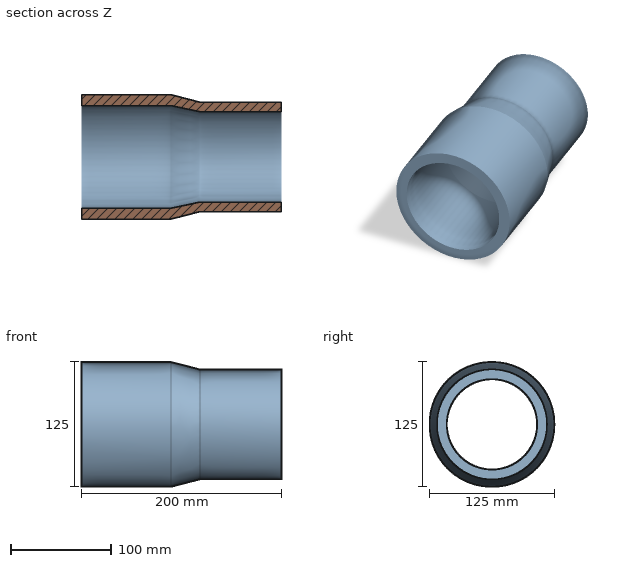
import cadquery as cq

length = 200.0
taper_start = 89.0
taper_end = 118.0

large_outer_diameter = 125.0
large_bore_diameter = 102.2
small_outer_diameter = 110.0
small_bore_diameter = 90.0


def stepped_round(large_diameter, small_diameter):
    """Solid of revolution about X: two cylinders joined by a straight taper."""
    large_radius = large_diameter / 2
    small_radius = small_diameter / 2
    return (
        cq.Workplane("XY")
        .moveTo(0, 0)
        .lineTo(0, large_radius)
        .lineTo(taper_start, large_radius)
        .lineTo(taper_end, small_radius)
        .lineTo(length, small_radius)
        .lineTo(length, 0)
        .close()
        .revolve(360, (0, 0, 0), (1, 0, 0))
    )


outer_body = stepped_round(large_outer_diameter, small_outer_diameter)
bore = stepped_round(large_bore_diameter, small_bore_diameter)

result = outer_body.cut(bore).translate((-length / 2, 0, 0))